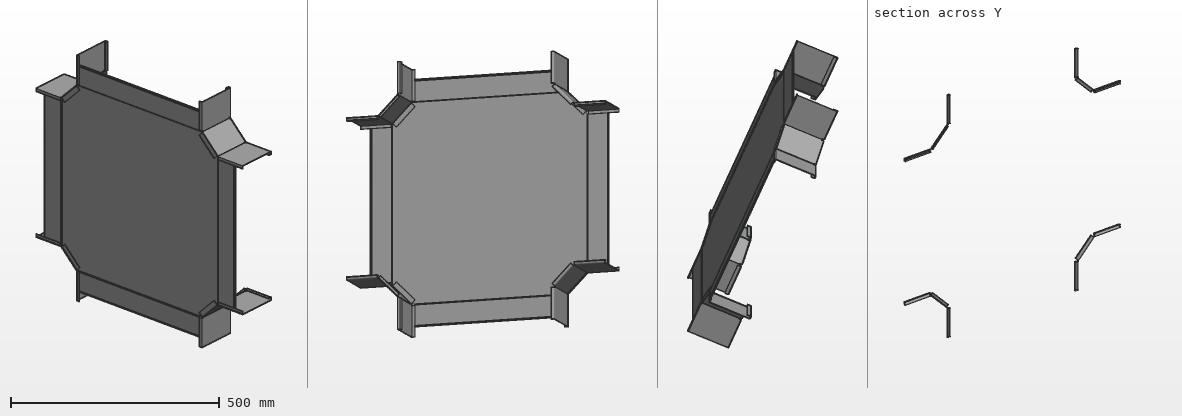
import cadquery as cq
import math


span = 654.0
height = 107.0
sheet = 2.0

channel_half = 199.0
bend_place = 248.0
bend_angle = 45
lip_width = 8.5
lip_return = 10.5
lip_radius = 4.0
flange_radius = 0.5
wing_flange = 9.0
slant_flange = 15.0
wing_gap = 2.0
slant_gap = 1.0
lip_notch = 6.5
flange_notch = 3.0

seat_half = 246.5
arm_end = 303.0

half_span = span / 2
arc_middle = 1 - math.sqrt(0.5)
wing_length = half_span - bend_place
slant_length = (bend_place - channel_half) * math.sqrt(2)
slant_inset = sheet * math.sqrt(2)
miter = sheet * math.tan(math.radians(bend_angle / 2))
arm_half = channel_half - wing_flange


def wall_panel(length, flange_width, has_return):
    """Straight wall with a flange below and a lip above, whose edge may turn back down.

    Outer face on X = 0, inward along +X, running along +Z from Z = 0.
    """
    flange_arc = flange_radius * arc_middle
    outer_arc = lip_radius * arc_middle
    inner_arc = sheet + (lip_radius - sheet) * arc_middle
    profile = (
        cq.Workplane("XY")
        .moveTo(flange_width, 0)
        .lineTo(flange_radius, 0)
        .threePointArc((flange_arc, flange_arc), (0, flange_radius))
        .lineTo(0, height - lip_radius)
        .threePointArc((outer_arc, height - outer_arc), (lip_radius, height))
    )
    if has_return:
        return_arc = sheet * arc_middle
        profile = (
            profile
            .lineTo(lip_width - sheet, height)
            .threePointArc((lip_width - return_arc, height - return_arc), (lip_width, height - sheet))
            .lineTo(lip_width, height - lip_return)
            .lineTo(lip_width - sheet, height - lip_return)
            .lineTo(lip_width - sheet, height - sheet)
        )
    else:
        profile = profile.lineTo(lip_width, height).lineTo(lip_width, height - sheet)
    return (
        profile
        .lineTo(lip_radius, height - sheet)
        .threePointArc((inner_arc, height - inner_arc), (sheet, height - lip_radius))
        .lineTo(sheet, sheet)
        .lineTo(flange_width, sheet)
        .close()
        .extrude(length)
    )


def wall_strip():
    """Bent wall without lips or flanges, running through both bends of the corner."""
    outer = [
        (-channel_half, half_span),
        (-channel_half, bend_place),
        (-bend_place, channel_half),
        (-half_span, channel_half),
    ]
    inner = [
        (-half_span, channel_half - sheet),
        (-bend_place + miter, channel_half - sheet),
        (-channel_half + sheet, bend_place - miter),
        (-channel_half + sheet, half_span),
    ]
    return (
        cq.Workplane("XZ", origin=(0, flange_notch, 0))
        .polyline(outer + inner)
        .close()
        .extrude(-(height - lip_notch - flange_notch))
    )


def corner_wall():
    """Corner at -X, +Z: a straight wall, a slanted wall and a second straight wall."""
    wing = wall_panel(wing_length - wing_gap, wing_flange, has_return=True)
    upper_wing = wing.translate((-channel_half, 0, bend_place + wing_gap))

    side_wing = upper_wing.mirror("YZ").rotate((0, 0, 0), (0, 1, 0), -90)

    slant = (
        wall_panel(slant_length - 2 * slant_gap, slant_flange, has_return=False)
        .translate((0, 0, slant_gap))
        .rotate((0, 0, 0), (0, 1, 0), bend_angle)
        .translate((-bend_place, 0, channel_half))
    )
    return wall_strip().union(upper_wing).union(side_wing).union(slant)


def floor_arm():
    """Arm toward +Z: steps down between the wall flanges, then steps up again at its end."""
    step_down_end = seat_half + sheet
    step_up_end = arm_end - sheet
    step_up_start = step_up_end - sheet
    lower_face = [
        (sheet, 0),
        (sheet, seat_half),
        (0, step_down_end),
        (0, step_up_start),
        (sheet, step_up_end),
        (sheet, arm_end),
    ]
    upper_face = [(y + sheet, z) for y, z in reversed(lower_face)]
    return (
        cq.Workplane("YZ", origin=(-arm_half, 0, 0))
        .polyline(lower_face + upper_face)
        .close()
        .extrude(2 * arm_half)
    )


def floor_sheet():
    """Eight-sided middle resting on the slanted flanges, with four arms."""
    corner_cut = 2 * seat_half - (channel_half + bend_place - slant_inset)
    floor = (
        cq.Workplane("XY")
        .box(2 * seat_half, sheet, 2 * seat_half)
        .edges("|Y")
        .chamfer(corner_cut)
        .translate((0, 1.5 * sheet, 0))
    )
    for turn in range(4):
        floor = floor.union(floor_arm().rotate((0, 0, 0), (0, 1, 0), 90 * turn))
    return floor


floor = floor_sheet()
corners = [corner_wall().rotate((0, 0, 0), (0, 1, 0), 90 * turn) for turn in range(4)]

result = cq.Compound.makeCompound([body.solids().val() for body in [floor, *corners]])